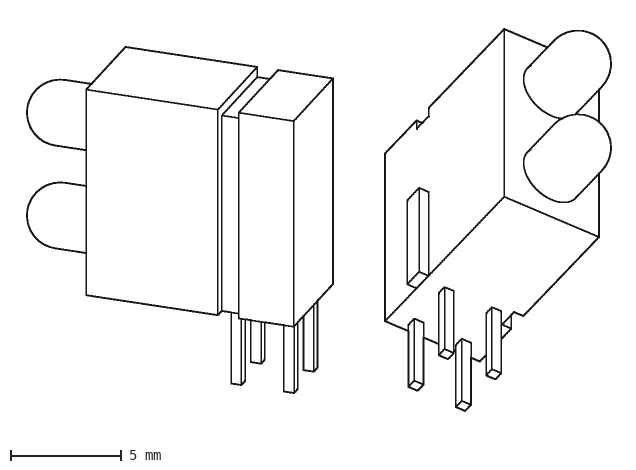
import cadquery as cq

unit_pitch = 5.08
lamp_count = 2
housing_length = 10.0
groove_width = 1.0
groove_depth = 0.5
lamp_diameter = 3.0
lamp_length = 3.7
pin_size = 0.5
pin_length = 3.75
rear_pin_inset = 0.61

housing_width = unit_pitch
housing_height = lamp_count * unit_pitch
pin_pitch = unit_pitch / 2
rear_pin_x = housing_length - rear_pin_inset
front_pin_x = rear_pin_x - pin_pitch
groove_x = front_pin_x
lamp_radius = lamp_diameter / 2
barrel_length = lamp_length - lamp_radius
key_height = housing_height / 2


def make_housing():
    """Block with one groove running down its -Y side and across its top."""
    block = cq.Workplane("XY").box(
        housing_length, housing_width, housing_height, centered=(False, True, False)
    )
    side_groove = (
        cq.Workplane("XY")
        .box(groove_width, groove_depth, housing_height, centered=(True, False, False))
        .translate((groove_x, -housing_width / 2, 0))
    )
    top_groove = (
        cq.Workplane("XY")
        .box(groove_width, housing_width, groove_depth, centered=(True, True, False))
        .translate((groove_x, 0, housing_height - groove_depth))
    )
    return block.cut(side_groove).cut(top_groove)


def make_key():
    """Rib on the +Y side, sized to enter the side groove of a neighbouring part."""
    return (
        cq.Workplane("XY")
        .box(groove_width, groove_depth, key_height, centered=(True, False, False))
        .translate((groove_x, housing_width / 2, 0))
    )


def make_lamp(center_z):
    """Round lamp with a hemispherical tip, revolved about its own axis along X."""
    diagonal = lamp_radius * 0.5 ** 0.5
    return (
        cq.Workplane("XY")
        .lineTo(0, lamp_radius)
        .lineTo(-barrel_length, lamp_radius)
        .threePointArc((-barrel_length - diagonal, diagonal), (-lamp_length, 0))
        .close()
        .revolve(360, (0, 0, 0), (1, 0, 0))
        .translate((0, 0, center_z))
    )


def make_pin(center_x, center_y):
    """Square pin hanging from the underside of the housing."""
    return (
        cq.Workplane("XY")
        .center(center_x, center_y)
        .rect(pin_size, pin_size)
        .extrude(-pin_length)
    )


housing = make_housing()
key = make_key()

lamps = []
for index in range(lamp_count):
    lamps.append(make_lamp((index + 0.5) * unit_pitch).val())

pins = []
for pin_x in (front_pin_x, rear_pin_x):
    for pin_y in (-pin_pitch / 2, pin_pitch / 2):
        pins.append(make_pin(pin_x, pin_y).val())

result = cq.Compound.makeCompound([housing.val(), key.val(), *lamps, *pins])